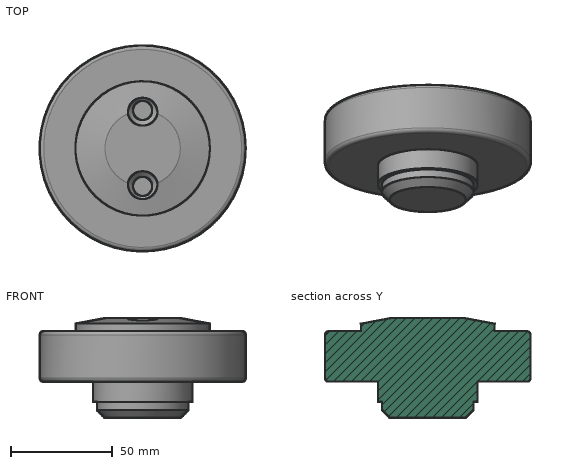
import cadquery as cq

disc_diameter = 101.2
disc_height = 25.0
disc_edge_radius = 2.0

collar_diameter = 66.0
collar_height = 3.6
crown_height = 2.7
crown_flat_diameter = 36.9

shoulder_diameter = 49.0
shoulder_height = 9.8
tip_diameter = 45.0
tip_straight_height = 3.9
tip_chamfer = 3.8

socket_floor_diameter = 9.4
socket_depth = 2.7
socket_offset = 18.6
pin_height = 1.1

collar_top = disc_height + collar_height
crown_top = collar_top + crown_height
shoulder_bottom = -shoulder_height
tip_bottom = shoulder_bottom - tip_straight_height - tip_chamfer


def cylinder(diameter, bottom, height):
    return cq.Workplane("XY", origin=(0, 0, bottom)).circle(diameter / 2).extrude(height)


def make_disc():
    return cylinder(disc_diameter, 0, disc_height).edges().fillet(disc_edge_radius)


def make_collar():
    return (
        cq.Workplane("XZ")
        .moveTo(0, disc_height)
        .lineTo(collar_diameter / 2, disc_height)
        .lineTo(collar_diameter / 2, collar_top)
        .lineTo(crown_flat_diameter / 2, crown_top)
        .lineTo(0, crown_top)
        .close()
        .revolve(360, (0, 0, 0), (0, 1, 0))
    )


def make_stud():
    shoulder = cylinder(shoulder_diameter, shoulder_bottom, shoulder_height)
    tip = cylinder(tip_diameter, tip_bottom, shoulder_bottom - tip_bottom)
    return shoulder.union(tip.faces("<Z").edges().chamfer(tip_chamfer))


def make_socket(y):
    floor_radius = socket_floor_diameter / 2
    cone = cq.Solid.makeCone(
        floor_radius,
        floor_radius + socket_depth,
        socket_depth,
        pnt=cq.Vector(0, y, crown_top - socket_depth),
    )
    pin = cylinder(socket_floor_diameter, crown_top - socket_depth, pin_height)
    return cq.Workplane(cone).cut(pin.translate((0, y, 0)))


result = make_disc().union(make_collar()).union(make_stud())
for socket_y in (-socket_offset, socket_offset):
    result = result.cut(make_socket(socket_y))